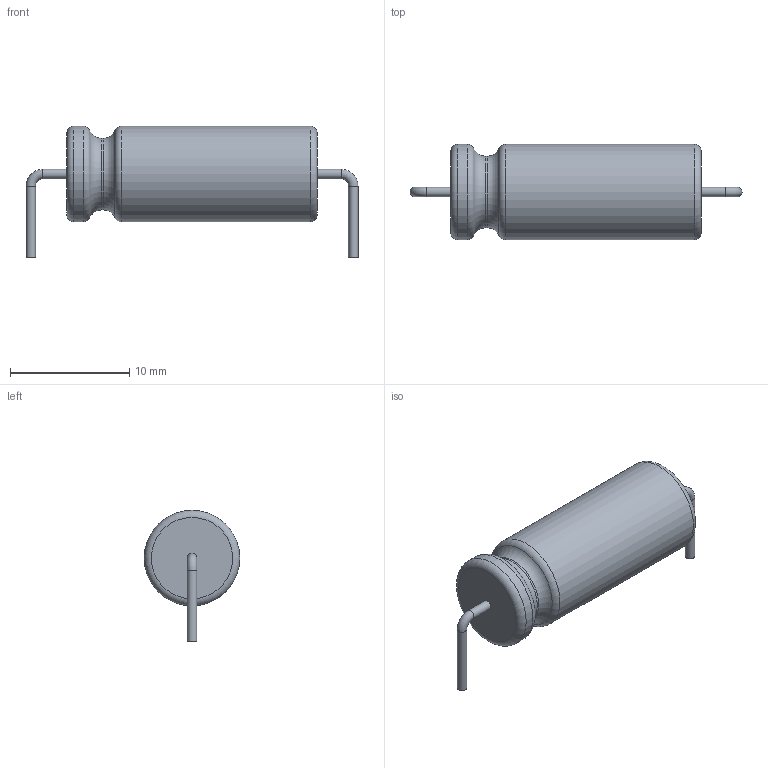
import cadquery as cq
import math


can_length = 21.0
can_radius = 4.0
edge_radius = 0.6

rim_flat_length = 0.8
groove_depth = 1.0
groove_flat_length = 0.17
groove_centre = 3.0

lead_diameter = 0.8
lead_span = 27.0
lead_bend_radius = 1.0
lead_drop = 7.0

quarter_turn = math.pi / 2

can_start = -can_length / 2
can_end = can_length / 2
edge_centre_radius = can_radius - edge_radius
groove_x = can_start + groove_centre
floor_radius = can_radius - groove_depth
floor_half = groove_flat_length / 2
rim_flat_start = can_start + edge_radius
rim_flat_end = rim_flat_start + rim_flat_length
shoulder_offset = groove_x - rim_flat_end

arc_run = shoulder_offset - floor_half
floor_rise = edge_centre_radius - floor_radius
groove_radius = (arc_run**2 + floor_rise**2 - edge_radius**2) / (2 * (edge_radius + floor_rise))
groove_arc_height = floor_radius + groove_radius
tangent_angle = math.atan2(groove_arc_height - edge_centre_radius, arc_run)


def arc_point(centre_x, centre_height, radius, angle):
    """Point on an arc in the profile plane at an angle measured from +X."""
    return (centre_x + radius * math.cos(angle), centre_height + radius * math.sin(angle))


def mirrored(point):
    """Reflect a profile point about the middle of the groove."""
    return (2 * groove_x - point[0], point[1])


def make_can():
    """Revolve the half profile of the can about the X axis."""
    shoulder_mid_angle = (quarter_turn + tangent_angle) / 2
    shoulder_mid = arc_point(rim_flat_end, edge_centre_radius, edge_radius, shoulder_mid_angle)
    tangent_point = arc_point(rim_flat_end, edge_centre_radius, edge_radius, tangent_angle)
    groove_mid_angle = (math.pi + tangent_angle + 3 * quarter_turn) / 2
    groove_mid = arc_point(groove_x - floor_half, groove_arc_height, groove_radius, groove_mid_angle)
    floor_point = (groove_x - floor_half, floor_radius)
    shoulder_top = (rim_flat_end, can_radius)
    start_mid = arc_point(rim_flat_start, edge_centre_radius, edge_radius, 1.5 * quarter_turn)
    end_mid = arc_point(can_end - edge_radius, edge_centre_radius, edge_radius, quarter_turn / 2)

    return (
        cq.Workplane("XZ")
        .moveTo(can_start, 0)
        .lineTo(can_start, edge_centre_radius)
        .threePointArc(start_mid, (rim_flat_start, can_radius))
        .lineTo(*shoulder_top)
        .threePointArc(shoulder_mid, tangent_point)
        .threePointArc(groove_mid, floor_point)
        .lineTo(*mirrored(floor_point))
        .threePointArc(mirrored(groove_mid), mirrored(tangent_point))
        .threePointArc(mirrored(shoulder_mid), mirrored(shoulder_top))
        .lineTo(can_end - edge_radius, can_radius)
        .threePointArc(end_mid, (can_end, edge_centre_radius))
        .lineTo(can_end, 0)
        .close()
        .revolve(360, (0, 0, 0), (1, 0, 0))
    )


def make_lead(side):
    """Round wire leaving one can end (side is -1 or +1) and bending down."""
    can_face_x = side * can_length / 2
    tip_x = side * lead_span / 2
    bend_start_x = tip_x - side * lead_bend_radius
    bend_mid_angle = quarter_turn - side * quarter_turn / 2
    bend_mid = arc_point(bend_start_x, -lead_bend_radius, lead_bend_radius, bend_mid_angle)
    path = (
        cq.Workplane("XZ")
        .moveTo(can_face_x, 0)
        .lineTo(bend_start_x, 0)
        .threePointArc(bend_mid, (tip_x, -lead_bend_radius))
        .lineTo(tip_x, -lead_drop)
    )
    section = cq.Workplane("YZ", origin=(can_face_x, 0, 0)).circle(lead_diameter / 2)
    return section.sweep(path)


result = make_can()
for side in (-1, 1):
    result = result.union(make_lead(side))